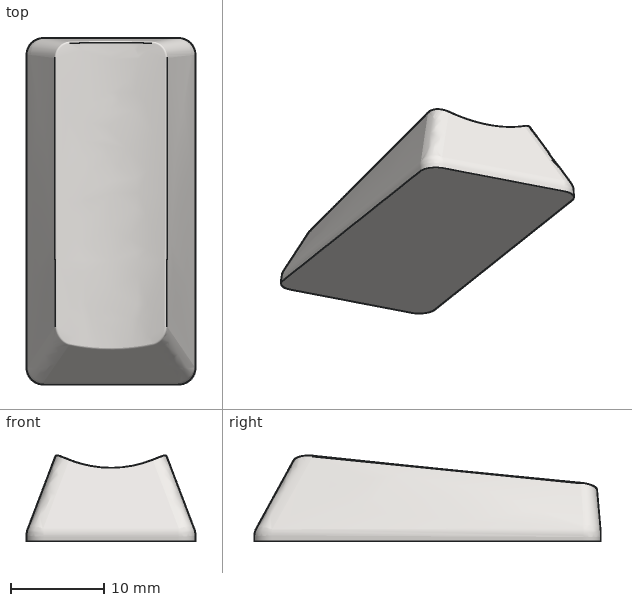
import cadquery as cq
import math

width = 18.15
length = 37.2
rim_height = 0.95

top_width = 11.55
top_front = -13.73
top_back = 18.12
top_front_height = 9.85
top_tilt = 6.0

wall_radius = 1.85
selection_margin = 0.2

crest_half_width = 5.95
crest_drop = 0.35
dish_front_radius = 10.8
dish_back_radius = 17.1
top_edge_radius = 0.2

tilt_slope = math.tan(math.radians(top_tilt))
tilt_cosine = math.cos(math.radians(top_tilt))
top_length = (top_back - top_front) / tilt_cosine
top_middle = (top_front + top_back) / 2


def tilted_plane_height(y):
    return top_front_height - (y - top_front) * tilt_slope


def make_rim():
    return cq.Workplane("XY").rect(width, length).extrude(rim_height)


def make_sloping_walls():
    """Straight-sided loft from the level rim to the tilted plane."""
    lower_place = cq.Location(cq.Vector(0, 0, rim_height))
    upper_center = cq.Vector(0, top_middle, tilted_plane_height(top_middle))
    upper_place = cq.Location(upper_center, cq.Vector(1, 0, 0), -top_tilt)
    lower = cq.Sketch().rect(width, length).moved(lower_place)
    upper = cq.Sketch().rect(top_width, top_length).moved(upper_place)
    return cq.Workplane("XY").placeSketch(lower, upper).loft(ruled=True)


def round_walls(body):
    """Round the corners and the bend, leaving the bottom and top outlines sharp."""
    above_bottom = selection_margin
    below_top = tilted_plane_height(top_back) - selection_margin
    wall_edges = cq.selectors.BoxSelector(
        (-width, -length, above_bottom), (width, length, below_top)
    )
    return body.edges(wall_edges).fillet(wall_radius)


def dish_circle(y, radius):
    """Circle across the part that passes through both crests."""
    center_height = math.sqrt(radius**2 - crest_half_width**2)
    center = cq.Vector(0, y, center_height)
    return cq.Wire.makeCircle(radius, center, cq.Vector(0, 1, 0))


def make_dish():
    """Tapered round cutter lying along the crests."""
    front = dish_circle(-length / 2, dish_front_radius)
    back = dish_circle(length / 2, dish_back_radius)
    cutter = cq.Workplane(cq.Solid.makeLoft([front, back], True))
    crest_height = tilted_plane_height(0) - crest_drop
    return cutter.rotate((0, 0, 0), (1, 0, 0), -top_tilt).translate((0, 0, crest_height))


body = round_walls(make_rim().union(make_sloping_walls()))
body = body.cut(make_dish())
result = body.faces(">Z").edges().fillet(top_edge_radius)